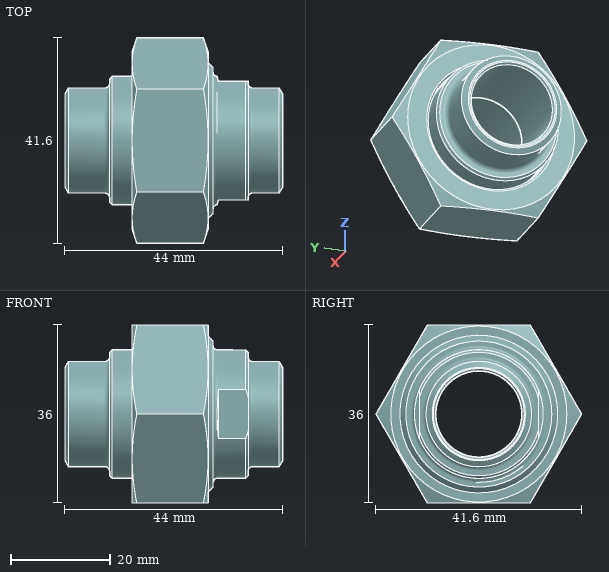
import cadquery as cq
import math

total_length = 44.0
x_left = -total_length / 2
x_right = total_length / 2

nut_flats = 36.0
nut_corners = nut_flats / math.cos(math.pi / 6)
nut_left = -8.5
nut_right = 7.0
nut_face_diameter = 35.55
nut_corner_setback = 1.0
nut_bore_radius = 26.5 / 2
nut_bore_chamfer = 0.5
nut_cavity_radius = 31.85 / 2
nut_lip = 2.65

neck_radius = 21.3 / 2
tip_bevel_height = 1.25
tip_bevel_length = tip_bevel_height * math.tan(math.pi / 6)
collar_radius = 26.0 / 2
collar_chamfer = 0.55
mouth_chamfer = 0.45

left_bore_radius = 17.3 / 2
left_shoulder = -13.0
left_neck_fillet = 0.95
flange_left = nut_left + nut_lip
joint_x = -2.2

right_bore_radius = 17.5 / 2
right_shoulder = 15.05
right_neck_fillet = 0.85
head_end = 7.95
head_end_radius = 29.5 / 2
head_fillet = 0.8
wrench_flats = 24.02
wrench_flat_start = 9.0
wrench_flat_runout = 0.25


def revolve_about_x(profile):
    """Revolve a closed profile of (x, radius) points about the X axis."""
    return profile.close().revolve(360, (0, 0, 0), (1, 0, 0))


def arc_middle(center_x, center_radius, fillet, direction):
    """Middle of a concave quarter arc, on the axis side of its centre."""
    offset = fillet * math.sqrt(0.5)
    return (center_x + direction * offset, center_radius - offset)


def make_nut():
    length = nut_right - nut_left
    hexagon = (
        cq.Workplane("YZ", origin=(nut_left, 0, 0))
        .polygon(6, nut_corners)
        .extrude(length)
    )
    envelope = revolve_about_x(
        cq.Workplane("XY")
        .moveTo(nut_left, 0)
        .lineTo(nut_left, nut_face_diameter / 2)
        .lineTo(nut_left + nut_corner_setback, nut_corners / 2)
        .lineTo(nut_right - nut_corner_setback, nut_corners / 2)
        .lineTo(nut_right, nut_face_diameter / 2)
        .lineTo(nut_right, 0)
    )
    opening = revolve_about_x(
        cq.Workplane("XY")
        .moveTo(nut_left, 0)
        .lineTo(nut_left, nut_bore_radius + nut_bore_chamfer)
        .lineTo(nut_left + nut_bore_chamfer, nut_bore_radius)
        .lineTo(flange_left, nut_bore_radius)
        .lineTo(flange_left, nut_cavity_radius)
        .lineTo(nut_right, nut_cavity_radius)
        .lineTo(nut_right, 0)
    )
    return hexagon.intersect(envelope).cut(opening)


def make_left_tube():
    fillet_x = left_shoulder - left_neck_fillet
    fillet_top = neck_radius + left_neck_fillet
    return revolve_about_x(
        cq.Workplane("XY")
        .moveTo(x_left + mouth_chamfer, left_bore_radius)
        .lineTo(x_left, left_bore_radius + mouth_chamfer)
        .lineTo(x_left, neck_radius - tip_bevel_height)
        .lineTo(x_left + tip_bevel_length, neck_radius)
        .lineTo(fillet_x, neck_radius)
        .threePointArc(
            arc_middle(fillet_x, fillet_top, left_neck_fillet, 1), (left_shoulder, fillet_top)
        )
        .lineTo(left_shoulder, collar_radius - collar_chamfer)
        .lineTo(left_shoulder + collar_chamfer, collar_radius)
        .lineTo(flange_left, collar_radius)
        .lineTo(flange_left, nut_cavity_radius)
        .lineTo(joint_x, nut_cavity_radius)
        .lineTo(joint_x, left_bore_radius)
    )


def make_right_tube():
    head_bevel = nut_cavity_radius - head_end_radius
    head_fillet_x = head_end + head_fillet
    head_fillet_top = collar_radius + head_fillet
    neck_fillet_x = right_shoulder + right_neck_fillet
    neck_fillet_top = neck_radius + right_neck_fillet
    body = revolve_about_x(
        cq.Workplane("XY")
        .moveTo(joint_x, right_bore_radius)
        .lineTo(joint_x, nut_cavity_radius)
        .lineTo(head_end - head_bevel, nut_cavity_radius)
        .lineTo(head_end, head_end_radius)
        .lineTo(head_end, head_fillet_top)
        .threePointArc(
            arc_middle(head_fillet_x, head_fillet_top, head_fillet, -1), (head_fillet_x, collar_radius)
        )
        .lineTo(right_shoulder - collar_chamfer, collar_radius)
        .lineTo(right_shoulder, collar_radius - collar_chamfer)
        .lineTo(right_shoulder, neck_fillet_top)
        .threePointArc(
            arc_middle(neck_fillet_x, neck_fillet_top, right_neck_fillet, -1), (neck_fillet_x, neck_radius)
        )
        .lineTo(x_right - tip_bevel_length, neck_radius)
        .lineTo(x_right, neck_radius - tip_bevel_height)
        .lineTo(x_right, right_bore_radius + mouth_chamfer)
        .lineTo(x_right - mouth_chamfer, right_bore_radius)
    )
    return cut_wrench_flats(body)


def cut_wrench_flats(body):
    """Cut two parallel flats on the -Y and +Y sides of the right collar."""
    half_flats = wrench_flats / 2
    waste = (
        cq.Workplane("XY")
        .moveTo(wrench_flat_start, half_flats)
        .lineTo(wrench_flat_start - wrench_flat_runout, collar_radius)
        .lineTo(right_shoulder, collar_radius)
        .lineTo(right_shoulder, half_flats)
        .close()
        .extrude(collar_radius, both=True)
    )
    return body.cut(waste).cut(waste.mirror("XZ"))


nut = make_nut()
left_tube = make_left_tube()
right_tube = make_right_tube()

result = cq.Compound.makeCompound([nut.val(), left_tube.val(), right_tube.val()])